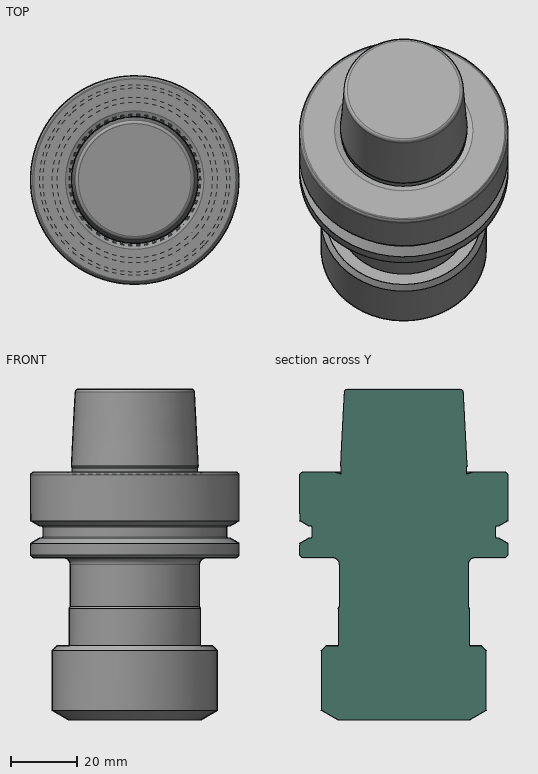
import cadquery as cq
import math

total_height = 99.9

nut_radius = 25.0
nut_height = 22.5
nut_bottom_chamfer_height = 2.9
nut_bottom_chamfer_angle = 30.0
nut_top_chamfer = 1.5

lower_shank_radius = 19.9
upper_shank_radius = 19.6
shank_step_z = 34.0
shank_fillet = 2.0

flange_diameter = 63.0
flange_radius = flange_diameter / 2
flange_bottom_z = 49.0
flange_top_z = 74.9
flange_edge_chamfer = 0.8
flange_edge_fillet = 0.5
groove_radius = 27.8
groove_center_z = 56.7
groove_width = 3.6
groove_flank_height = 1.6
groove_flank_angle = 30.0
groove_corner_fillet = 0.5

undercut_radius = 20.9
undercut_depth = 0.6

neck_radius = 19.0
neck_top_z = 76.1
taper_bottom_z = 76.7
taper_bottom_radius = 19.2
taper_top_radius = 18.0
taper_edge_fillet = 1.0


def chamfer_width(height, angle):
    """Radial width of a cone whose slope to the horizontal is the given angle."""
    return height / math.tan(math.radians(angle))


def revolve(profile):
    """Turn a half profile of (radius, height) points around Z."""
    return cq.Workplane("XZ").polyline(profile).close().revolve(360, (0, 0), (0, 1))


def make_nut():
    bottom_radius = nut_radius - chamfer_width(nut_bottom_chamfer_height, nut_bottom_chamfer_angle)
    return revolve([
        (0, 0),
        (bottom_radius, 0),
        (nut_radius, nut_bottom_chamfer_height),
        (nut_radius, nut_height - nut_top_chamfer),
        (nut_radius - nut_top_chamfer, nut_height),
        (0, nut_height),
    ])


def make_shank():
    half_cone_height = lower_shank_radius - upper_shank_radius
    fillet_start_z = flange_bottom_z - shank_fillet
    return (
        cq.Workplane("XZ")
        .moveTo(0, nut_height)
        .lineTo(lower_shank_radius, nut_height)
        .lineTo(lower_shank_radius, shank_step_z - half_cone_height)
        .lineTo(upper_shank_radius, shank_step_z + half_cone_height)
        .lineTo(upper_shank_radius, fillet_start_z)
        .radiusArc((upper_shank_radius + shank_fillet, flange_bottom_z), shank_fillet)
        .lineTo(0, flange_bottom_z)
        .close()
        .revolve(360, (0, 0), (0, 1))
    )


def make_flange():
    height = flange_top_z - flange_bottom_z
    disc = cq.Workplane("XY").workplane(offset=flange_bottom_z).circle(flange_radius).extrude(height)
    chamfered_disc = disc.edges("%CIRCLE").chamfer(flange_edge_chamfer)
    rounded_disc = chamfered_disc.edges("%CIRCLE").fillet(flange_edge_fillet)
    return rounded_disc.cut(make_groove()).cut(make_undercut())


def make_groove():
    """Ring cutter: flat-sided slot with rounded inner corners and conical flanks."""
    slot_bottom = groove_center_z - groove_width / 2
    slot_top = groove_center_z + groove_width / 2
    flank_radius = flange_radius - chamfer_width(groove_flank_height, groove_flank_angle)
    corner_radius = groove_radius + groove_corner_fillet
    return (
        cq.Workplane("XZ")
        .moveTo(flange_radius, slot_bottom - groove_flank_height)
        .lineTo(flank_radius, slot_bottom)
        .lineTo(corner_radius, slot_bottom)
        .radiusArc((groove_radius, slot_bottom + groove_corner_fillet), groove_corner_fillet)
        .lineTo(groove_radius, slot_top - groove_corner_fillet)
        .radiusArc((corner_radius, slot_top), groove_corner_fillet)
        .lineTo(flank_radius, slot_top)
        .lineTo(flange_radius, slot_top + groove_flank_height)
        .close()
        .revolve(360, (0, 0), (0, 1))
    )


def make_undercut():
    return revolve([
        (neck_radius, flange_top_z - undercut_depth),
        (undercut_radius, flange_top_z),
        (neck_radius, flange_top_z),
    ])


def make_spigot():
    spigot = revolve([
        (0, flange_top_z),
        (neck_radius, flange_top_z),
        (neck_radius, neck_top_z),
        (taper_bottom_radius, taper_bottom_z),
        (taper_top_radius, total_height),
        (0, total_height),
    ])
    return spigot.faces(">Z").edges().fillet(taper_edge_fillet)


result = make_nut().union(make_shank()).union(make_flange()).union(make_spigot())